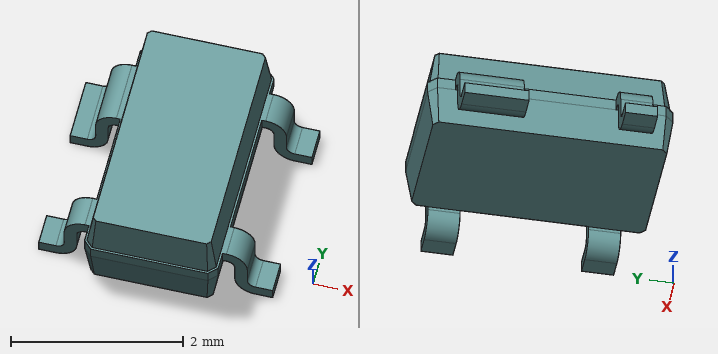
import cadquery as cq
import math

body_width = 1.6
body_length = 2.9
corner_chamfer = 0.1
body_bottom = 0.1
body_top = 1.2
upper_half_inset = 0.025
draft_angle = 8.0

lead_span = 2.8
lead_thickness = 0.15
lead_top = 0.725
lead_shank_outer = 1.095
bend_inner_radius = 0.1
bend_outer_radius = bend_inner_radius + lead_thickness
lead_root = 0.58
lead_width = 0.38
wide_lead_width = 2 * lead_width
lead_outer_edge = 1.14

belt_top = lead_top
belt_bottom = belt_top - lead_thickness


def tapered_block(start_z, end_z, inset=0.0, draft=0.0):
    """Body outline moved inwards by inset, extruded from start_z to end_z with a draft."""
    chamfer = corner_chamfer - inset * (2 - math.sqrt(2))
    outline = (
        cq.Sketch()
        .rect(body_width - 2 * inset, body_length - 2 * inset)
        .vertices()
        .chamfer(chamfer)
    )
    return (
        cq.Workplane("XY", origin=(0, 0, start_z))
        .placeSketch(outline)
        .extrude(end_z - start_z, taper=draft)
    )


def make_body():
    belt = tapered_block(belt_bottom, belt_top)
    upper_half = tapered_block(belt_top, body_top, upper_half_inset, draft_angle)
    lower_half = tapered_block(belt_bottom, body_bottom, draft=draft_angle)
    return belt.union(upper_half).union(lower_half)


def make_lead(side, outer_y, inner_y):
    """Lead on the -X (side = -1) or +X (side = 1) flank, between two Y positions."""
    tip = lead_span / 2
    shank_inner = lead_shank_outer - lead_thickness
    shoulder_end = lead_shank_outer - bend_outer_radius
    foot_start = lead_shank_outer + bend_inner_radius
    upper_bend_z = lead_top - bend_outer_radius
    lower_bend_z = bend_outer_radius

    profile = (
        cq.Workplane("XZ", origin=(0, max(outer_y, inner_y), 0))
        .moveTo(side * lead_root, lead_top)
        .lineTo(side * shoulder_end, lead_top)
        .radiusArc((side * lead_shank_outer, upper_bend_z), side * bend_outer_radius)
        .lineTo(side * lead_shank_outer, lower_bend_z)
        .radiusArc((side * foot_start, lead_thickness), -side * bend_inner_radius)
        .lineTo(side * tip, lead_thickness)
        .lineTo(side * tip, 0)
        .lineTo(side * foot_start, 0)
        .radiusArc((side * shank_inner, lower_bend_z), side * bend_outer_radius)
        .lineTo(side * shank_inner, upper_bend_z)
        .radiusArc((side * shoulder_end, belt_bottom), -side * bend_inner_radius)
        .lineTo(side * lead_root, belt_bottom)
        .close()
    )
    return profile.extrude(abs(outer_y - inner_y))


result = make_body()

leads = [
    (-1, 1, wide_lead_width),
    (-1, -1, lead_width),
    (1, 1, lead_width),
    (1, -1, lead_width),
]
for side, end, width in leads:
    lead = make_lead(side, end * lead_outer_edge, end * (lead_outer_edge - width))
    result = result.union(lead)